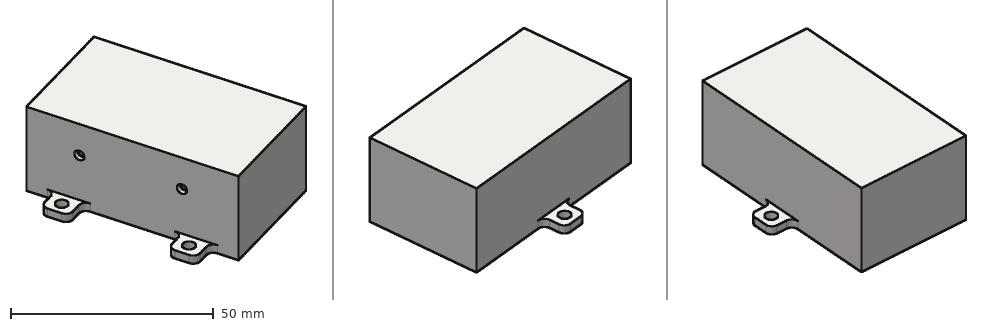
import cadquery as cq

body_length = 60.0
body_width = 34.0
body_height = 25.5

tab_width = 8.0
tab_reach = 7.0
tab_thickness = 2.5
tab_radius = 2.0
tab_hole_diameter = 3.4
tab_hole_offset = tab_reach / 2
front_tab_x = 18.0
rear_tab_x = 0.0

wall_hole_x_positions = (-15.0, 14.0)
wall_hole_z = 16.0
mouth_diameter = 2.8
mouth_depth = 1.5
bore_diameter = 2.3
bore_depth = 3.0


def make_tab():
    """Tab reaching toward +Y from a wall at Y = 0, centred on X = 0."""
    half_width = tab_width / 2
    half_root = half_width + tab_radius
    half_tip = half_width - tab_radius
    corner_start = tab_reach - tab_radius
    outline = (
        cq.Workplane("XY")
        .moveTo(-half_root, 0)
        .radiusArc((-half_width, tab_radius), -tab_radius)
        .lineTo(-half_width, corner_start)
        .radiusArc((-half_tip, tab_reach), tab_radius)
        .lineTo(half_tip, tab_reach)
        .radiusArc((half_width, corner_start), tab_radius)
        .lineTo(half_width, tab_radius)
        .radiusArc((half_root, 0), -tab_radius)
        .close()
    )
    hole = (
        cq.Workplane("XY")
        .center(0, tab_hole_offset)
        .circle(tab_hole_diameter / 2)
        .extrude(tab_thickness)
    )
    return outline.extrude(tab_thickness).cut(hole)


def make_wall_pin(x, diameter, depth):
    """Cylinder running from the front wall face inward along +Y."""
    pin = cq.Solid.makeCylinder(
        diameter / 2,
        depth,
        pnt=cq.Vector(x, -body_width / 2, wall_hole_z),
        dir=cq.Vector(0, 1, 0),
    )
    return cq.Workplane("XY").add(pin)


result = cq.Workplane("XY").box(body_length, body_width, body_height, centered=(True, True, False))

tab = make_tab()
result = result.union(tab.translate((rear_tab_x, body_width / 2, 0)))
front_tab = tab.rotate((0, 0, 0), (0, 0, 1), 180)
for tab_x in (-front_tab_x, front_tab_x):
    result = result.union(front_tab.translate((tab_x, -body_width / 2, 0)))

for hole_x in wall_hole_x_positions:
    result = result.cut(make_wall_pin(hole_x, mouth_diameter, mouth_depth))
    result = result.cut(make_wall_pin(hole_x, bore_diameter, bore_depth))